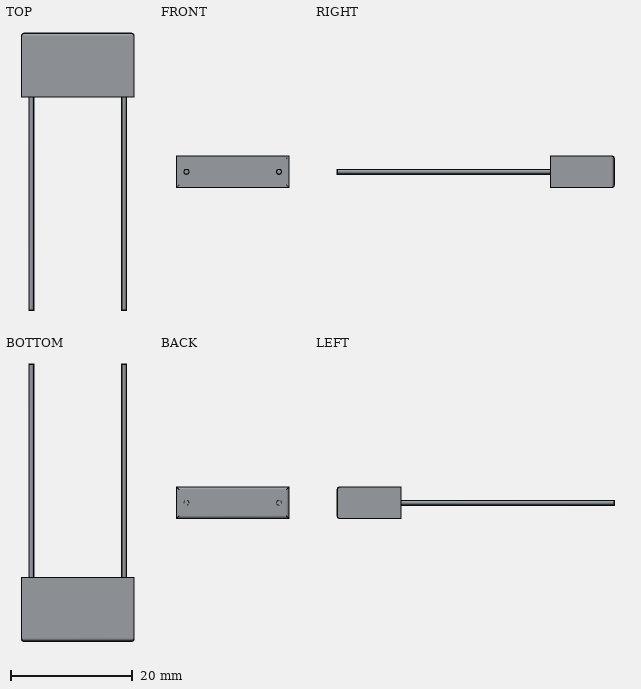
import cadquery as cq

overall_length = 45.5
case_width = 18.5
case_height = 5.25
case_depth = 10.5
end_fillet = 0.5

lead_diameter = 0.8
lead_pitch = 15.2
lead_length = overall_length - case_depth
lead_positions = [-lead_pitch / 2, lead_pitch / 2]


def make_case():
    """Rectangular capacitor case: lead face at Y = 0, closed end at +Y with rounded edges."""
    block = cq.Workplane("XY").box(case_width, case_depth, case_height, centered=(True, False, True))
    return block.faces(">Y").edges().fillet(end_fillet)


def make_lead(x):
    """Straight round wire running from the lead face of the case towards -Y."""
    return cq.Workplane("XZ").center(x, 0).circle(lead_diameter / 2).extrude(lead_length)


case = make_case()
leads = [make_lead(x) for x in lead_positions]

result = cq.Compound.makeCompound([case.val(), *[lead.val() for lead in leads]])